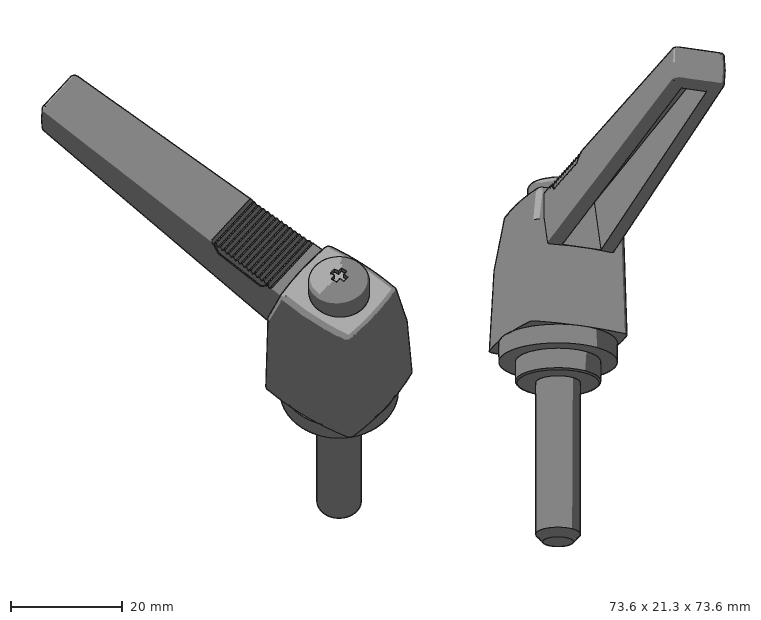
import cadquery as cq
import math


SCREW_DIAMETER = 8.0
SCREW_TIP_DIAMETER = 5.5
SCREW_TIP_HEIGHT = 1.4
COLLAR_DIAMETER = 15.3
COLLAR_EDGE_CHAMFER = 0.3
COLLAR_BOTTOM = 30.05
FLANGE_DIAMETER = 21.3
FLANGE_BOTTOM = 34.0
HUB_BOTTOM = 37.55

HUB_BASE = {"left": -9.65, "right": 9.6, "half_width": 9.4, "bulge_x": 0.95, "bulge_y": 0.9}
HUB_WAIST = {"left": -9.7, "right": 9.05, "half_width": 8.6, "bulge_x": 0.65, "bulge_y": 1.7}
HUB_CROWN = {"left": -7.8, "right": 7.7, "half_width": 7.2, "bulge_x": 0.45, "bulge_y": 0.5}
WAIST_LEFT_Z = 56.9
WAIST_RIGHT_Z = 52.6
CROWN_LEFT_Z = 64.0
CROWN_RIGHT_Z = 62.95
HUB_CORNER_RADIUS = 1.1
HUB_TOP_RADIUS = 1.0

BUTTON_DIAMETER = 11.0
BUTTON_RIM_Z = 66.35
BUTTON_SHOULDER_HEIGHT = 0.95
BUTTON_SHOULDER_INSET = 0.6
BUTTON_RING_DIAMETER = 5.5
BUTTON_RING_Z = 68.1
BUTTON_TOP_Z = 68.7
CROSS_LENGTH = 3.0
CROSS_WIDTH = 1.2
CROSS_DEPTH = 1.1

OVERALL_LENGTH = 73.6
OVERALL_HEIGHT = 73.6
HANDLE_TIP_RADIUS = 0.95
HANDLE_EDGE_RADIUS = 0.45
HANDLE_TIP_X = FLANGE_DIAMETER / 2 - OVERALL_LENGTH
HANDLE_ROOT_X = -6.6
HANDLE_TOP_SLOPE = 0.2
TIP_ROUNDING_LOSS = HANDLE_EDGE_RADIUS * (HANDLE_TOP_SLOPE + math.hypot(1, HANDLE_TOP_SLOPE) - 1)
HANDLE_TIP_TOP = OVERALL_HEIGHT + TIP_ROUNDING_LOSS
HANDLE_ROOT_TOP = HANDLE_TIP_TOP - HANDLE_TOP_SLOPE * (HANDLE_ROOT_X - HANDLE_TIP_X)
HANDLE_TIP = {"top": (HANDLE_TIP_TOP, 5.0), "parting": (70.75, 5.2), "underside": (67.6, 5.0)}
HANDLE_ROOT = {"top": (HANDLE_ROOT_TOP, 6.4), "parting": (56.25, 7.2), "underside": (51.4, 6.55)}

POCKET_TIP_X = -60.2
POCKET_ROOT_X = -10.45
POCKET_WALL = 1.9
POCKET_MOUTH_HALF_WIDTHS = (2.6, 3.9)
POCKET_ROOF_HALF_WIDTHS = (1.85, 2.5)
POCKET_MOUTH_CLEARANCE = 0.7

GROOVE_COUNT = 14
GROOVE_DEPTH = 0.6
FIRST_GROOVE_X = -23.6
LAST_GROOVE_X = -10.8
GROOVE_PITCH = (LAST_GROOVE_X - FIRST_GROOVE_X) / (GROOVE_COUNT - 1)
RELIEF_DEPTH = 0.2
RELIEF_DROP = 1.8
RELIEF_UPPER_X = (-23.85, -11.0)
RELIEF_LOWER_X = (-22.4, -12.75)


def line_height(x, left, right):
    """Height at x on the straight line through two (x, z) points."""
    return left[1] + (right[1] - left[1]) * (x - left[0]) / (right[0] - left[0])


def handle_top(x):
    return HANDLE_TIP_TOP - HANDLE_TOP_SLOPE * (x - HANDLE_TIP_X)


def screw_and_flange():
    tip_radius = SCREW_TIP_DIAMETER / 2
    collar_radius = COLLAR_DIAMETER / 2
    profile = [
        (0, 0),
        (tip_radius, 0),
        (SCREW_DIAMETER / 2, SCREW_TIP_HEIGHT),
        (SCREW_DIAMETER / 2, COLLAR_BOTTOM),
        (collar_radius - COLLAR_EDGE_CHAMFER, COLLAR_BOTTOM),
        (collar_radius, COLLAR_BOTTOM + COLLAR_EDGE_CHAMFER),
        (collar_radius, FLANGE_BOTTOM),
        (FLANGE_DIAMETER / 2, FLANGE_BOTTOM),
        (FLANGE_DIAMETER / 2, HUB_BOTTOM),
        (0, HUB_BOTTOM),
    ]
    return cq.Workplane("XZ").polyline(profile).close().revolve(360, (0, 0), (0, 1))


def hub_section(size, left_z, right_z):
    """Closed four-sided wire with bulged sides and rounded corners, in a plane tilted along X."""
    left, right, half = size["left"], size["right"], size["half_width"]
    middle = (left + right) / 2

    def point(x, y):
        return cq.Vector(x, y, line_height(x, (left, left_z), (right, right_z)))

    corners = [point(left, -half), point(right, -half), point(right, half), point(left, half)]
    bulges = [
        point(middle, -half - size["bulge_y"]),
        point(right + size["bulge_x"], 0),
        point(middle, half + size["bulge_y"]),
        point(left - size["bulge_x"], 0),
    ]
    edges = []
    for index, bulge in enumerate(bulges):
        start = corners[index]
        end = corners[(index + 1) % len(corners)]
        edges.append(cq.Edge.makeThreePointArc(start, bulge, end))
    outline = cq.Wire.assembleEdges(edges)
    return outline.fillet2D(HUB_CORNER_RADIUS, outline.Vertices())


def hub():
    base = hub_section(HUB_BASE, HUB_BOTTOM, HUB_BOTTOM)
    waist = hub_section(HUB_WAIST, WAIST_LEFT_Z, WAIST_RIGHT_Z)
    crown = hub_section(HUB_CROWN, CROWN_LEFT_Z, CROWN_RIGHT_Z)
    body = cq.Workplane(cq.Solid.makeLoft([base, waist, crown], True))
    crown_center = (0, 0, (CROWN_LEFT_Z + CROWN_RIGHT_Z) / 2)
    crown_face = body.faces(cq.selectors.NearestToPointSelector(crown_center))
    return crown_face.edges().fillet(HUB_TOP_RADIUS)


def button():
    radius = BUTTON_DIAMETER / 2
    shoulder_top = (radius - BUTTON_SHOULDER_INSET, BUTTON_RIM_Z + BUTTON_SHOULDER_HEIGHT)
    ring_radius = BUTTON_RING_DIAMETER / 2
    solid = (
        cq.Workplane("XZ")
        .moveTo(0, HUB_BOTTOM)
        .lineTo(radius, HUB_BOTTOM)
        .lineTo(radius, BUTTON_RIM_Z)
        .tangentArcPoint(shoulder_top, relative=False)
        .lineTo(ring_radius, BUTTON_RING_Z)
        .tangentArcPoint((0, BUTTON_TOP_Z), relative=False)
        .close()
        .revolve(360, (0, 0), (0, 1))
    )
    for length_x, length_y in ((CROSS_LENGTH, CROSS_WIDTH), (CROSS_WIDTH, CROSS_LENGTH)):
        slot = cq.Workplane("XY", origin=(0, 0, BUTTON_TOP_Z - CROSS_DEPTH)).rect(length_x, length_y)
        solid = solid.cut(slot.extrude(2 * CROSS_DEPTH))
    return solid


def mirrored_section(x, levels):
    """Closed wire at x through (z, half width) levels, mirrored about the XZ plane."""
    near = [cq.Vector(x, -half, z) for z, half in levels]
    far = [cq.Vector(x, half, z) for z, half in reversed(levels)]
    return cq.Wire.makePolygon(near + far, close=True)


def handle_wedge(inset=0.0):
    """Sharp-edged tapering bar with its sides moved inward by the inset."""
    sections = []
    for x, end in ((HANDLE_TIP_X, HANDLE_TIP), (HANDLE_ROOT_X, HANDLE_ROOT)):
        levels = [(z, half - inset) for z, half in end.values()]
        sections.append(mirrored_section(x, levels))
    return cq.Workplane(cq.Solid.makeLoft(sections, True))


def handle_blank():
    blank = handle_wedge().faces("<X").edges("not |Y").fillet(HANDLE_TIP_RADIUS)
    middle_x = (HANDLE_TIP_X + HANDLE_ROOT_X) / 2
    for level in ("top", "underside"):
        middle_z = (HANDLE_TIP[level][0] + HANDLE_ROOT[level][0]) / 2
        face = blank.faces(cq.selectors.NearestToPointSelector((middle_x, 0, middle_z)))
        blank = face.edges("not >X").fillet(HANDLE_EDGE_RADIUS)
    return blank


def handle_pocket():
    """Tapered hollow, open at the underside and closed by a wall at the tip."""
    sections = []
    ends = (POCKET_TIP_X, POCKET_ROOT_X)
    tip_point = (HANDLE_TIP_X, HANDLE_TIP["underside"][0])
    root_point = (HANDLE_ROOT_X, HANDLE_ROOT["underside"][0])
    for x, mouth, roof in zip(ends, POCKET_MOUTH_HALF_WIDTHS, POCKET_ROOF_HALF_WIDTHS):
        mouth_z = line_height(x, tip_point, root_point) - POCKET_MOUTH_CLEARANCE
        sections.append(mirrored_section(x, [(handle_top(x) - POCKET_WALL, roof), (mouth_z, mouth)]))
    return cq.Workplane(cq.Solid.makeLoft(sections, True))


def handle_grooves():
    """V-shaped finger grooves cut across the handle top."""
    half_pitch = GROOVE_PITCH / 2
    overcut = HANDLE_TOP_SLOPE * half_pitch
    grooves = cq.Workplane("XZ", origin=(0, BUTTON_DIAMETER, 0))
    for index in range(GROOVE_COUNT):
        x = FIRST_GROOVE_X + index * GROOVE_PITCH
        grooves = grooves.polyline([
            (x - half_pitch, handle_top(x) + overcut),
            (x, handle_top(x) - GROOVE_DEPTH),
            (x + half_pitch, handle_top(x) - overcut),
            (x + half_pitch, OVERALL_HEIGHT),
            (x - half_pitch, OVERALL_HEIGHT),
        ]).close()
    return grooves.extrude(2 * BUTTON_DIAMETER)


def side_reliefs():
    """Shallow flats along both sides of the grooves."""
    upper_left, upper_right = RELIEF_UPPER_X
    lower_left, lower_right = RELIEF_LOWER_X
    block = (
        cq.Workplane("XZ", origin=(0, BUTTON_DIAMETER, 0))
        .polyline([
            (upper_left, OVERALL_HEIGHT),
            (upper_left, handle_top(upper_left)),
            (lower_left, handle_top(lower_left) - RELIEF_DROP),
            (lower_right, handle_top(lower_right) - RELIEF_DROP),
            (upper_right, handle_top(upper_right)),
            (upper_right, OVERALL_HEIGHT),
        ])
        .close()
        .extrude(2 * BUTTON_DIAMETER)
    )
    return block.cut(handle_wedge(RELIEF_DEPTH))


def handle():
    return handle_blank().cut(handle_pocket()).cut(side_reliefs()).cut(handle_grooves())


result = screw_and_flange().union(hub()).union(button()).union(handle())